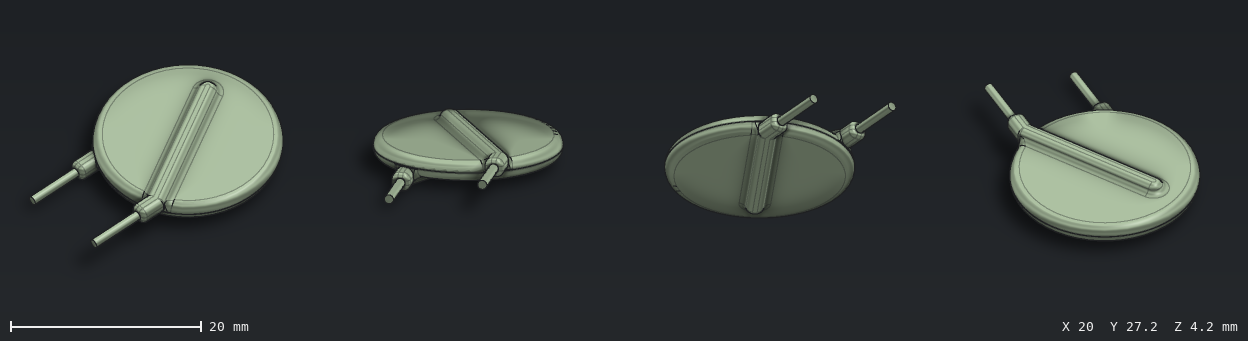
import cadquery as cq
import math

disc_diameter = 20.0
half_thickness = 1.1
rim_radius = 1.0

sleeve_size = 2.0
sleeve_corner_radius = 0.75
sleeve_end_radius = 0.5
sleeve_end_length = 2.5
ridge_length = 16.1
ridge_lean = 30.0

blend_radius = 0.75

lead_diameter = 1.0
lead_length = 6.0

tolerance = 1e-3

disc_radius = disc_diameter / 2
sleeve_z = half_thickness
sleeve_bottom_z = sleeve_z - sleeve_size / 2
sleeve_top_z = sleeve_z + sleeve_size / 2
lean_sin = math.sin(math.radians(ridge_lean))
lean_cos = math.cos(math.radians(ridge_lean))
bend_x = disc_radius * lean_sin
bend_y = -disc_radius * lean_cos
tip_x = bend_x - ridge_length * lean_sin
tip_y = bend_y + ridge_length * lean_cos
sleeve_end_y = bend_y - sleeve_end_length

corner_center_u = sleeve_size / 2 - sleeve_corner_radius
corner_center_z = sleeve_top_z - sleeve_corner_radius
blend_center_z = half_thickness + blend_radius
center_distance = sleeve_corner_radius + blend_radius
center_angle = math.asin((blend_center_z - corner_center_z) / center_distance)
blend_center_u = corner_center_u + center_distance * math.cos(center_angle)


def corner_point(angle):
    return (
        corner_center_u + sleeve_corner_radius * math.cos(angle),
        corner_center_z + sleeve_corner_radius * math.sin(angle),
    )


def blend_point(angle):
    return (
        blend_center_u + blend_radius * math.cos(angle),
        blend_center_z + blend_radius * math.sin(angle),
    )


def ridge_half_section(side):
    """Half of the ridge section at the tip; side is +1 or -1 across the ridge."""
    plane = cq.Plane(
        origin=(tip_x, tip_y, 0),
        xDir=(side * lean_cos, side * lean_sin, 0),
        normal=(side * lean_sin, -side * lean_cos, 0),
    )
    corner_middle = (math.pi / 2 + center_angle) / 2
    blend_start = math.pi + center_angle
    blend_end = 1.5 * math.pi
    return (
        cq.Workplane(plane)
        .moveTo(0, sleeve_bottom_z)
        .lineTo(0, sleeve_top_z)
        .lineTo(corner_center_u, sleeve_top_z)
        .threePointArc(corner_point(corner_middle), corner_point(center_angle))
        .threePointArc(blend_point((blend_start + blend_end) / 2), blend_point(blend_end))
        .lineTo(blend_center_u, sleeve_bottom_z)
        .close()
    )


def make_half_disc():
    """Half disc with a round rim; its seam lies under the ridge."""
    disc = cq.Workplane("XY").circle(disc_radius).extrude(half_thickness)
    disc = disc.faces(">Z").edges().fillet(rim_radius)
    return disc.rotate((0, 0, 0), (0, 0, 1), ridge_lean - 90)


def make_sleeve():
    """Rounded square bar from its outer end round the bend to the tip."""
    end_plane = cq.Plane(origin=(bend_x, sleeve_end_y, sleeve_z), xDir=(1, 0, 0), normal=(0, 1, 0))
    path = (
        cq.Workplane("XY", origin=(0, 0, sleeve_z))
        .moveTo(bend_x, sleeve_end_y)
        .lineTo(bend_x, bend_y)
        .lineTo(tip_x, tip_y)
    )
    outline = cq.Sketch().rect(sleeve_size, sleeve_size).vertices().fillet(sleeve_corner_radius)
    bar = cq.Workplane(end_plane).placeSketch(outline).sweep(path, transition="right")
    return bar.faces("<Y").edges().fillet(sleeve_end_radius)


def is_wall_foot(edge):
    """True for an edge where a side of the wall meets the disc."""
    middle = edge.positionAt(0.5)
    across = middle.x * lean_cos + middle.y * lean_sin
    along = middle.x * lean_sin - middle.y * lean_cos
    on_wall_side = abs(abs(across) - sleeve_size / 2) < tolerance
    return on_wall_side and abs(along) < disc_radius and middle.z < half_thickness + tolerance


def make_blended_ridge():
    """Ridge with its blends, which turn down over the rim of the disc.

    A tall wall across the disc is blended to it all along its foot, then cut to the ridge
    section between the tip and the bend.
    """
    wall_length = 1.5 * disc_diameter
    wall_height = 2 * sleeve_top_z
    wall = (
        cq.Workplane("XY")
        .rect(sleeve_size, wall_length)
        .extrude(wall_height)
        .rotate((0, 0, 0), (0, 0, 1), ridge_lean)
    )
    disc_with_wall = make_half_disc().union(wall)
    foot_edges = [edge for edge in disc_with_wall.edges().vals() if is_wall_foot(edge)]
    blended = disc_with_wall.newObject(foot_edges).fillet(blend_radius)
    envelope = ridge_half_section(1).extrude(ridge_length)
    envelope = envelope.union(ridge_half_section(-1).extrude(-ridge_length))
    tip = ridge_half_section(1).revolve(360, (0, 0), (0, 1))
    return blended.intersect(envelope).union(tip)


def make_coating_half():
    """One coating body: half disc, blended ridge and sleeve in one solid."""
    return make_half_disc().union(make_blended_ridge()).union(make_sleeve())


def make_lead():
    """Straight bare wire leaving the sleeve toward -Y."""
    plane = cq.Plane(origin=(bend_x, sleeve_end_y, sleeve_z), xDir=(1, 0, 0), normal=(0, -1, 0))
    return cq.Workplane(plane).circle(lead_diameter / 2).extrude(lead_length)


bodies = []
for turn in (0, 180):
    for body in (make_coating_half(), make_lead()):
        bodies.extend(body.rotate((0, 0, 0), (0, 1, 0), turn).vals())

result = cq.Compound.makeCompound(bodies)